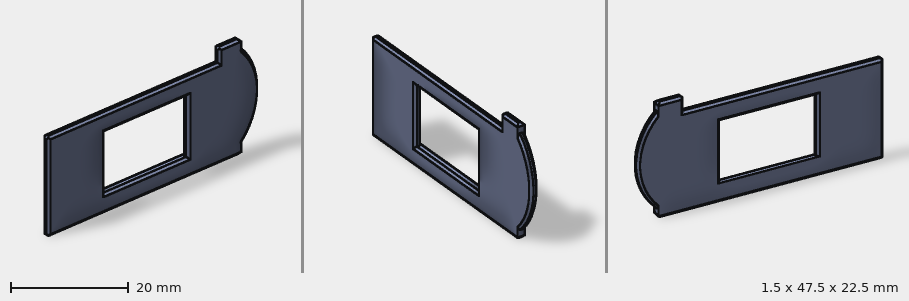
import cadquery as cq

thickness = 1.5
length = 47.5
height = 22.5
bevel = thickness / 3

nose_radius = 13.05
nose_length = 4.05

tab_width = 4.95
tab_height = 3.0

window_start = 12.85
window_end = 31.5
window_bottom = 3.8
window_top = 15.75

end_y = -length / 2
nose_tip_y = length / 2
shoulder_y = nose_tip_y - nose_length
tab_y = shoulder_y - tab_width
bottom_z = -height / 2
top_z = height / 2
plate_top_z = top_z - tab_height
window_bottom_z = bottom_z + window_bottom
tolerance = 0.005


def extrude_across(sketch):
    """Extrude a YZ outline symmetrically through the thickness."""
    return sketch.extrude(thickness / 2, both=True)


def is_bevelled(edge):
    """Tell whether a rim edge is bevelled: all but the shoulder wall and the -X side of the sill."""
    center = edge.Center()
    on_shoulder = abs(center.y - shoulder_y) < tolerance
    on_sill = abs(center.z - window_bottom_z) < tolerance
    return not (on_shoulder or (on_sill and center.x < 0))


def make_plate():
    """Plate with tab and window, bevelled on both broad faces."""
    outline = cq.Workplane("YZ").polyline([
        (end_y, bottom_z),
        (shoulder_y, bottom_z),
        (shoulder_y, top_z),
        (tab_y, top_z),
        (tab_y, plate_top_z),
        (end_y, plate_top_z),
    ]).close()
    window = cq.Workplane("YZ").moveTo(end_y + window_start, window_bottom_z).lineTo(
        end_y + window_end, window_bottom_z
    ).vLine(window_top - window_bottom).hLine(window_start - window_end).close()
    plate = extrude_across(outline).cut(extrude_across(window))
    rim = plate.faces("<X or >X").edges().filter(is_bevelled)
    return rim.chamfer(bevel)


def make_corner_cut(y, z, y_inward, z_inward):
    """Triangular prism that trims one outer corner at 45 degrees."""
    triangle = cq.Workplane("YZ").polyline([
        (y, z),
        (y + y_inward * bevel, z),
        (y, z + z_inward * bevel),
    ]).close()
    return extrude_across(triangle)


def make_nose():
    """Bevelled disc, kept only where it reaches into or beyond the shoulder."""
    disc = extrude_across(cq.Workplane("YZ").center(nose_tip_y - nose_radius, 0).circle(nose_radius))
    disc = disc.faces("<X or >X").edges().chamfer(bevel)
    overlap = 0.95
    keep = cq.Workplane("XY").box(thickness, nose_length + overlap, height).translate(
        (0, nose_tip_y - (nose_length + overlap) / 2, 0)
    )
    return disc.intersect(keep)


result = make_plate()
outer_corners = [
    (shoulder_y, top_z, -1, -1),
    (tab_y, top_z, 1, -1),
    (end_y, plate_top_z, 1, -1),
    (end_y, bottom_z, 1, 1),
    (shoulder_y, bottom_z, -1, 1),
]
for corner in outer_corners:
    result = result.cut(make_corner_cut(*corner))

result = result.union(make_nose())